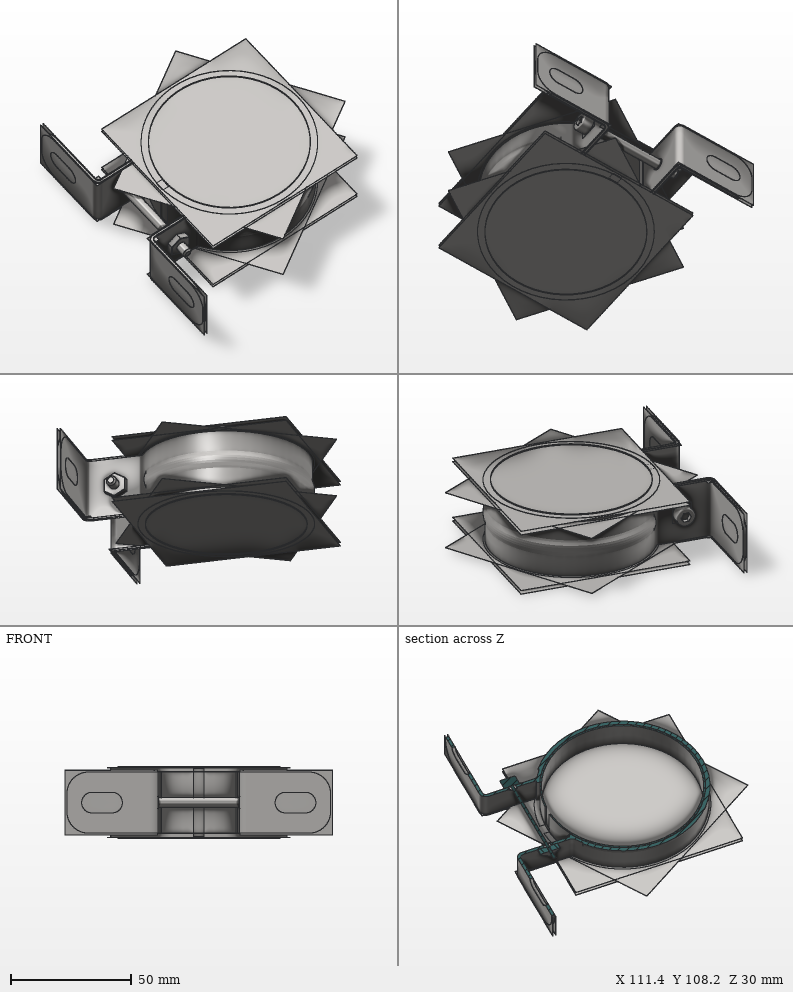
import cadquery as cq
import math

overall_length = 111.4
overall_height = 30.0

sheet = 0.07
sheet_inset = 0.07

liner_bore_radius = 33.6
liner_lip_radius = 36.8
liner_lip_top = 14.6
liner_lip_bottom = 12.8
liner_cover_size = 75.8
liner_slit = 4.5
liner_slit_half_height = 14.1

strip_thickness = 1.6
strip_half_height = 12.7
sheet_half_height = 13.5
band_outer_radius = 36.0
band_inner_radius = band_outer_radius - strip_thickness
band_end_angle = 26.7
band_cover_size = 75.1
band_cover_turn = 32.2
leg_inner_x = 17.0
leg_outer_x = leg_inner_x + strip_thickness
leg_root_y = -math.sqrt(band_outer_radius**2 - leg_outer_x**2)
leg_root_fillet = 2.0
flange_front_y = -56.4
bend_radius = 3.0
bend_cover_size = 3.6
flange_end_x = 54.8
flange_corner_radius = 8.9
flange_slot_x = 40.2
flange_slot_length = 16.9
flange_slot_width = 8.6

bead_end_angle = 39.0
bead_outer_radius = liner_lip_radius
bead_half_width = 3.8
bead_crown_half_width = 0.6
bead_root_z = 2.9
bead_shoulder_z = 1.6
bead_root_rise = 0.2
bead_shoulder_rise = 0.7

screw_y = -42.1
screw_radius = 2.1
screw_end_x = 26.4
screw_end_chamfer = 0.8
head_radius = 4.1
head_height = 4.8
head_edge_fillet = 0.7
head_plate_size = 8.5
socket_flats = 3.9
socket_depth = 2.2
hole_radius = 2.5
hole_collar_wall = 0.2
hole_collar_height = 0.3
nut_flats = 9.1
nut_turn = 30
nut_thickness = 2.8
nut_edge_chamfer = 0.2

SIDES = (-1, 1)


def slab(size_x, size_y, z_low, z_high):
    """Rectangular plate centred on the Z axis."""
    return cq.Workplane("XY").workplane(offset=z_low).rect(size_x, size_y).extrude(z_high - z_low)


def tube(outer_radius, inner_radius, half_height):
    """Ring about the Z axis, symmetric about the XY plane."""
    return cq.Workplane("XY").circle(outer_radius).circle(inner_radius).extrude(half_height, both=True)


def x_rod(radius, x_start, x_end):
    """Cylinder on the screw axis."""
    return cq.Workplane("YZ", origin=(x_start, screw_y, 0)).circle(radius).extrude(x_end - x_start)


def x_hexagon(flats, x_start, x_end):
    """Hexagonal prism on the screw axis, with corners towards +Y and -Y."""
    corner_diameter = flats / math.cos(math.pi / 6)
    return (
        cq.Workplane("YZ", origin=(x_start, screw_y, 0))
        .polygon(6, corner_diameter)
        .extrude(x_end - x_start)
    )


def mirrored_pair(shape):
    """The shape together with its mirror image about the YZ plane."""
    return shape.union(shape.mirror("YZ"))


def opening_wedge(half_angle):
    """Wedge about -Y that clears the opening of a ring."""
    reach = 2 * liner_lip_radius
    half_width = reach * math.tan(math.radians(half_angle))
    return (
        cq.Workplane("XY")
        .polyline([(0, 0), (-half_width, -reach), (half_width, -reach)])
        .close()
        .extrude(overall_height, both=True)
    )


def bent_strip(depth, thickness, end_x, half_height):
    """Leg, bend and flange on the +X side, starting at a depth below the outer bend face."""
    x_near = leg_inner_x + depth
    x_far = x_near + thickness
    y_near = flange_front_y + depth
    y_far = y_near + thickness
    near_radius = bend_radius - depth
    far_radius = near_radius - thickness
    centre_x = leg_inner_x + bend_radius
    centre_y = flange_front_y + bend_radius
    diagonal = math.sqrt(0.5)
    return (
        cq.Workplane("XY")
        .moveTo(x_near, leg_root_y)
        .lineTo(x_near, centre_y)
        .threePointArc(
            (centre_x - near_radius * diagonal, centre_y - near_radius * diagonal),
            (centre_x, y_near),
        )
        .lineTo(end_x, y_near)
        .lineTo(end_x, y_far)
        .lineTo(centre_x, y_far)
        .threePointArc(
            (centre_x - far_radius * diagonal, centre_y - far_radius * diagonal),
            (x_far, centre_y),
        )
        .lineTo(x_far, leg_root_y)
        .close()
        .extrude(half_height, both=True)
    )


def bracket_body():
    """Leg and slotted flange with rounded end corners, on the +X side."""
    bracket = bent_strip(0, strip_thickness, flange_end_x, strip_half_height)
    bracket = bracket.edges("|Y and >X").fillet(flange_corner_radius)
    slot = (
        cq.Workplane("XZ", origin=(flange_slot_x, flange_front_y, 0))
        .slot2D(flange_slot_length, flange_slot_width)
        .extrude(-strip_thickness)
    )
    return bracket.cut(slot)


def bracket_sheets():
    """Sheets just below both faces of the bracket, and the square covers of its bend."""
    far_depth = strip_thickness - sheet_inset - sheet
    sheets = bent_strip(sheet_inset, sheet, overall_length / 2, sheet_half_height)
    sheets = sheets.union(bent_strip(far_depth, sheet, overall_length / 2, sheet_half_height))
    cover_centre = (leg_inner_x + bend_cover_size / 2, flange_front_y + bend_cover_size / 2)
    cover = slab(bend_cover_size, bend_cover_size, strip_half_height - sheet, strip_half_height)
    cover = cover.translate((*cover_centre, 0))
    return sheets.union(cover).union(cover.mirror("XY"))


def bead():
    """Raised stiffening bead around the band."""
    root_r = band_outer_radius + bead_root_rise
    shoulder_r = band_outer_radius + bead_shoulder_rise
    profile = (
        cq.Workplane("XZ")
        .moveTo(band_inner_radius, -bead_half_width)
        .lineTo(band_outer_radius, -bead_half_width)
        .lineTo(root_r, -bead_root_z)
        .lineTo(shoulder_r, -bead_shoulder_z)
        .lineTo(bead_outer_radius, -bead_crown_half_width)
        .lineTo(bead_outer_radius, bead_crown_half_width)
        .lineTo(shoulder_r, bead_shoulder_z)
        .lineTo(root_r, bead_root_z)
        .lineTo(band_outer_radius, bead_half_width)
        .lineTo(band_inner_radius, bead_half_width)
        .close()
    )
    return profile.revolve(360, (0, 0, 0), (0, 1, 0)).cut(opening_wedge(bead_end_angle))


def band_cover(z_low):
    """Turned square sheet at one edge of the band, open inside the band."""
    cover = slab(band_cover_size, band_cover_size, z_low, z_low + sheet)
    cover = cover.rotate((0, 0, 0), (0, 0, 1), band_cover_turn)
    return cover.cut(cq.Workplane("XY").circle(band_inner_radius).extrude(overall_height, both=True))


def make_clamp():
    band = tube(band_outer_radius, band_inner_radius, strip_half_height)
    band = band.cut(opening_wedge(band_end_angle))
    clamp = band.union(mirrored_pair(bracket_body()))
    for side in SIDES:
        root_edge = cq.selectors.NearestToPointSelector((side * leg_outer_x, leg_root_y, 0))
        clamp = clamp.edges("|Z").edges(root_edge).fillet(leg_root_fillet)
    clamp = clamp.union(bead())
    for cover_z in (-strip_half_height, strip_half_height - sheet):
        clamp = clamp.union(band_cover(cover_z))
    clamp = clamp.union(mirrored_pair(bracket_sheets()))
    collar = x_rod(hole_radius + hole_collar_wall, leg_inner_x - hole_collar_height, leg_inner_x)
    clamp = clamp.union(mirrored_pair(collar))
    return clamp.cut(x_rod(hole_radius, -leg_outer_x, leg_outer_x))


def make_liner(clamp):
    """Split channel ring with square cover sheets; its sheets are notched around the clamp legs."""
    channel = tube(liner_lip_radius, liner_bore_radius, liner_lip_top)
    channel = channel.cut(tube(2 * liner_lip_radius, band_inner_radius, liner_lip_bottom))
    slit = (
        cq.Workplane("XY")
        .center(0, -liner_lip_radius)
        .rect(liner_slit, liner_lip_radius)
        .extrude(liner_slit_half_height, both=True)
    )
    liner = channel.cut(slit)
    liner = liner.union(tube(liner_bore_radius + sheet, liner_bore_radius, overall_height / 2))
    for sheet_top in (liner_lip_top - sheet_inset, liner_lip_bottom + sheet):
        cover = slab(liner_cover_size, liner_cover_size, sheet_top - sheet, sheet_top)
        liner = liner.union(cover).union(cover.mirror("XY"))
    return liner.cut(clamp)


def make_screw():
    head_x = -leg_outer_x - head_height
    head = x_rod(head_radius, head_x, -leg_outer_x).faces("<X").edges().fillet(head_edge_fillet)
    plate = (
        cq.Workplane("YZ", origin=(-leg_outer_x - sheet, screw_y, 0))
        .rect(head_plate_size, head_plate_size)
        .extrude(sheet)
    )
    shank = x_rod(screw_radius, -leg_outer_x, screw_end_x).faces(">X").chamfer(screw_end_chamfer)
    socket = x_hexagon(socket_flats, head_x, head_x + socket_depth)
    return head.union(plate).union(shank).cut(socket)


def make_nut():
    nut = x_hexagon(nut_flats, leg_outer_x, leg_outer_x + nut_thickness)
    nut = nut.rotate((0, screw_y, 0), (1, screw_y, 0), nut_turn)
    nut = nut.faces(">X").chamfer(nut_edge_chamfer)
    return nut.cut(x_rod(screw_radius, leg_outer_x, screw_end_x))


clamp = make_clamp()
liner = make_liner(clamp)
screw = make_screw()
nut = make_nut()

result = cq.Compound.makeCompound([body.solids().val() for body in (clamp, liner, screw, nut)])